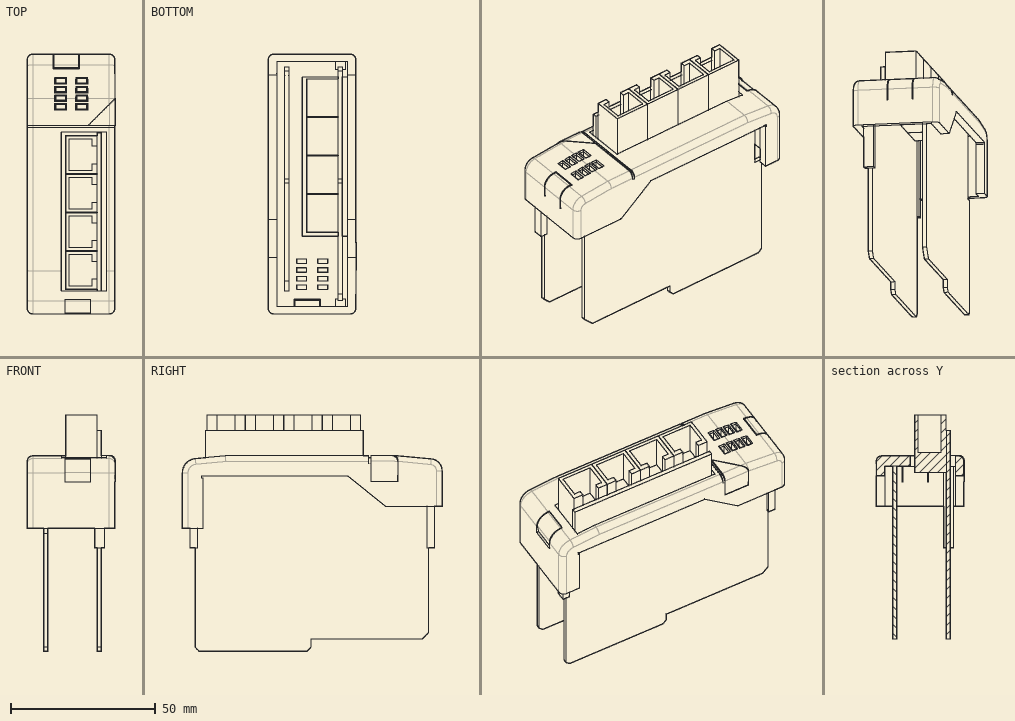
import cadquery as cq
import math

WIDTH = 30.4
LENGTH = 90.0
TOP_Z = 67.7
FRONT_BOTTOM_Z = 42.55
BACK_BOTTOM_Z = 50.15
SLOPE_ANGLE = math.radians(5.3)
FRONT_SLOPE_Y = 14.9
BACK_SLOPE_Y = 74.7
FRONT_RADIUS = 5.0
BACK_RADIUS = 4.2
SIDE_FILLET = 2.0
END_WALL = 2.65
SIDE_WALL = 3.0
CEILING_Z = 64.0

SIDE_OPENING_TOP_Z = 60.7
SIDE_OPENING_FRONT_Y = 7.2
SIDE_OPENING_BEND_Y = 57.3
SIDE_OPENING_BACK_Y = 70.4
RELIEF_DEPTH = 0.5
RELIEF_HEIGHT = 0.65

GROOVE_Y = 64.5
GROOVE_WIDTH = 0.8
GROOVE_DEPTH = 0.65

LABEL_RAISE = 0.15
LABEL_LENGTH = BACK_SLOPE_Y - GROOVE_Y - GROOVE_WIDTH
LABEL_BOTTOM_Z = 58.7

SNAP_BOTTOM_Z = 58.65
FRONT_SNAP_X = 13.1
FRONT_SNAP_WIDTH = 8.8
FRONT_SNAP_Y = 5.1
FRONT_SNAP_DEPTH = 0.3
FRONT_SNAP_BOTTOM_DEPTH = 0.8
FRONT_SNAP_LEAN_TOP_Z = 61.9
BACK_SNAP_X = 9.0
BACK_SNAP_WIDTH = 9.1
BACK_SNAP_Y = 84.95
SLIT_WIDTH = 0.3

INDICATOR_COLUMNS = 2
INDICATOR_ROWS = 4
INDICATOR_COLUMN_PITCH = 7.32
INDICATOR_ROW_PITCH = 3.0
INDICATOR_CENTER = (15.25, 76.25)
INDICATOR_SIZE = (3.35, 1.45)
INDICATOR_CHAMFER = 0.45

BOARD_THICKNESS = 1.5
FIXED_BOARD_X = 24.2
LOOSE_BOARD_X = 5.7
BOARD_FRONT_Y = 4.45
FIXED_BOARD_BACK_Y = 85.25
LOOSE_BOARD_BACK_Y = 82.05
BOARD_STEP_Y = 44.6
BOARD_STEP_Z = 4.2
BOARD_CHAMFER = 1.4
FIXED_BOARD_BACK_CHAMFER = 2.2
LOOSE_BOARD_BACK_CHAMFER = 3.5
BOARD_NOTCH_Y = 7.4
BOARD_NOTCH_Z = 40.8
JACK_BOARD_FRONT_Y = 8.0
JACK_BOARD_BACK_Y = 62.7
JACK_BOARD_TOP_Z = 76.5

GUIDE_X = 23.35
GUIDE_WIDTH = 3.5
GUIDE_LENGTH = 2.65
GUIDE_BOTTOM_Z = 35.8

JACK_COUNT = 4
JACK_PITCH = 13.32
JACK_GAP = 0.1
JACK_DEPTH_X = 10.85
JACK_FRONT_Y = 8.55
JACK_TOP_Z = 81.85
JACK_HEIGHT = 20.0
JACK_WALL = 1.15
JACK_LATCH_WALL = 1.75
JACK_POCKET_WIDTH = 10.8
JACK_POCKET_DEPTH = 13.0
JACK_LATCH_WIDTH = 6.2

JACK_OPENING_X = (11.9, WIDTH - SIDE_WALL)
JACK_OPENING_Y = (JACK_BOARD_FRONT_Y, 63.0)


def block(x0, x1, y0, y1, z0, z1):
    """Box between two opposite corners."""
    return cq.Workplane("XY").box(x1 - x0, y1 - y0, z1 - z0, centered=False).translate((x0, y0, z0))


def side_plate(points, x, thickness):
    """Flat plate with a (Y, Z) outline, growing from x towards +X."""
    return cq.Workplane("YZ").polyline(points).close().extrude(thickness).translate((x, 0, 0))


def outer_profile():
    """Closed (Y, Z) profile of the housing: sloped top ends and rounded end edges."""
    sine = math.sin(SLOPE_ANGLE)
    cosine = math.cos(SLOPE_ANGLE)
    half_angle = (math.pi / 2 + SLOPE_ANGLE) / 2

    def end_arc(radius, slope_y, outward, end_y):
        """Tangent points and mid point of the arc joining a sloped top to its end face."""
        center_y = end_y - outward * radius
        arc_start_y = center_y + outward * radius * sine
        arc_start_z = TOP_Z - abs(arc_start_y - slope_y) * math.tan(SLOPE_ANGLE)
        center_z = arc_start_z - radius * cosine
        middle = (
            center_y + outward * radius * math.sin(half_angle),
            center_z + radius * math.cos(half_angle),
        )
        return (arc_start_y, arc_start_z), middle, (end_y, center_z)

    front_top, front_middle, front_end = end_arc(FRONT_RADIUS, FRONT_SLOPE_Y, -1, 0)
    back_top, back_middle, back_end = end_arc(BACK_RADIUS, BACK_SLOPE_Y, 1, LENGTH)
    return (
        cq.Workplane("YZ")
        .moveTo(0, FRONT_BOTTOM_Z)
        .lineTo(*front_end)
        .threePointArc(front_middle, front_top)
        .lineTo(FRONT_SLOPE_Y, TOP_Z)
        .lineTo(BACK_SLOPE_Y, TOP_Z)
        .lineTo(*back_top)
        .threePointArc(back_middle, back_end)
        .lineTo(LENGTH, FRONT_BOTTOM_Z)
        .close()
    )


def outer_body():
    """Solid outer form with filleted side edges."""
    body = outer_profile().extrude(WIDTH)
    return body.faces("<X or >X").edges("not <Z").fillet(SIDE_FILLET)


def side_openings():
    """Cutter for both side walls and the raised bottom of the back end."""
    return side_plate(
        [
            (SIDE_OPENING_FRONT_Y, 0),
            (SIDE_OPENING_FRONT_Y, SIDE_OPENING_TOP_Z - RELIEF_HEIGHT),
            (SIDE_OPENING_FRONT_Y - RELIEF_DEPTH, SIDE_OPENING_TOP_Z - RELIEF_HEIGHT),
            (SIDE_OPENING_FRONT_Y - RELIEF_DEPTH, SIDE_OPENING_TOP_Z),
            (SIDE_OPENING_BEND_Y, SIDE_OPENING_TOP_Z),
            (SIDE_OPENING_BACK_Y, BACK_BOTTOM_Z),
            (LENGTH, BACK_BOTTOM_Z),
            (LENGTH, 0),
        ],
        0,
        WIDTH,
    )


def top_groove(outer):
    """Shallow groove that follows the rounded top from side to side."""
    slab = block(0, WIDTH, GROOVE_Y, GROOVE_Y + GROOVE_WIDTH, CEILING_Z, TOP_Z)
    return slab.cut(outer.translate((0, 0, -GROOVE_DEPTH)))


def front_snap_recess():
    """Recess that follows the rounded front end and leans deeper towards its lower edge."""
    right = FRONT_SNAP_X + FRONT_SNAP_WIDTH
    slab = block(FRONT_SNAP_X, right, 0, FRONT_SNAP_Y, SNAP_BOTTOM_Z, TOP_Z)
    followed = slab.cut(outer_profile().offset2D(-FRONT_SNAP_DEPTH).extrude(WIDTH))
    leaning_face = side_plate(
        [
            (0, FRONT_SNAP_LEAN_TOP_Z),
            (FRONT_SNAP_DEPTH, FRONT_SNAP_LEAN_TOP_Z),
            (FRONT_SNAP_BOTTOM_DEPTH, SNAP_BOTTOM_Z),
            (0, SNAP_BOTTOM_Z),
        ],
        FRONT_SNAP_X,
        FRONT_SNAP_WIDTH,
    )
    return followed.union(leaning_face)


def back_snap_slit():
    """U-shaped slit through the back end that frees a snap tab."""
    right = BACK_SNAP_X + BACK_SNAP_WIDTH
    around = block(BACK_SNAP_X, right, BACK_SNAP_Y, LENGTH, SNAP_BOTTOM_Z, TOP_Z)
    tab = block(
        BACK_SNAP_X + SLIT_WIDTH, right - SLIT_WIDTH, BACK_SNAP_Y + SLIT_WIDTH, LENGTH, SNAP_BOTTOM_Z, TOP_Z
    )
    return around.cut(tab)


def label(outer):
    """Thin raised triangle on the top, carried down the +X side."""
    corner_y = GROOVE_Y + GROOVE_WIDTH
    edge_x = WIDTH + LABEL_RAISE
    triangle = (
        cq.Workplane("XY")
        .workplane(offset=LABEL_BOTTOM_Z)
        .moveTo(edge_x, corner_y)
        .lineTo(edge_x, corner_y + LABEL_LENGTH)
        .lineTo(edge_x - LABEL_LENGTH, corner_y)
        .close()
        .extrude(TOP_Z + LABEL_RAISE - LABEL_BOTTOM_Z)
    )
    raised = outer.translate((LABEL_RAISE, 0, LABEL_RAISE))
    return triangle.intersect(raised)


def top_height(y):
    """Height of the flat and back slope of the housing top at a given y."""
    return TOP_Z - max(0, y - BACK_SLOPE_Y) * math.tan(SLOPE_ANGLE)


def indicator_window(center_x, center_y):
    """Cutter for one window: a straight opening below a 45 degree rim."""
    length_x, length_y = INDICATOR_SIZE
    top = top_height(center_y)

    def column(size_x, size_y, z0, z1):
        shape = cq.Workplane("XY").box(size_x, size_y, z1 - z0, centered=(True, True, False))
        return shape.translate((center_x, center_y, z0))

    rim_x = length_x + 2 * INDICATOR_CHAMFER
    rim_y = length_y + 2 * INDICATOR_CHAMFER
    rim = (
        cq.Workplane("XY")
        .workplane(offset=top)
        .center(center_x, center_y)
        .rect(rim_x, rim_y)
        .extrude(-INDICATOR_CHAMFER, taper=45)
    )
    above_rim = column(rim_x, rim_y, top, TOP_Z + INDICATOR_CHAMFER)
    return column(length_x, length_y, CEILING_Z, top).union(rim).union(above_rim)


def indicator_centers():
    """(X, Y) centres of the windows."""
    middle_x, middle_y = INDICATOR_CENTER
    return [
        (
            middle_x + (column - (INDICATOR_COLUMNS - 1) / 2) * INDICATOR_COLUMN_PITCH,
            middle_y + (row - (INDICATOR_ROWS - 1) / 2) * INDICATOR_ROW_PITCH,
        )
        for column in range(INDICATOR_COLUMNS)
        for row in range(INDICATOR_ROWS)
    ]


def board_bottom(back_y, back_chamfer):
    """Lower outline shared by the boards, from the back edge round to the front edge."""
    return [
        (back_y, BOARD_STEP_Z + back_chamfer),
        (back_y - back_chamfer, BOARD_STEP_Z),
        (BOARD_STEP_Y, BOARD_STEP_Z),
        (BOARD_STEP_Y, BOARD_CHAMFER),
        (BOARD_STEP_Y - BOARD_CHAMFER, 0),
        (BOARD_FRONT_Y + BOARD_CHAMFER, 0),
        (BOARD_FRONT_Y, BOARD_CHAMFER),
    ]


def fixed_board():
    """Board held in the guides; its upper part stands up through the jack opening."""
    upper = [
        (BOARD_FRONT_Y, CEILING_Z),
        (JACK_BOARD_FRONT_Y, CEILING_Z),
        (JACK_BOARD_FRONT_Y, JACK_BOARD_TOP_Z),
        (JACK_BOARD_BACK_Y, JACK_BOARD_TOP_Z),
        (JACK_BOARD_BACK_Y, CEILING_Z),
        (FIXED_BOARD_BACK_Y, CEILING_Z),
    ]
    lower = board_bottom(FIXED_BOARD_BACK_Y, FIXED_BOARD_BACK_CHAMFER)
    return side_plate(lower + upper, FIXED_BOARD_X, BOARD_THICKNESS)


def make_housing():
    """Cap-shaped housing with its guides and the board fixed in them."""
    outer = outer_body()
    shell = outer.union(label(outer))
    shell = shell.cut(block(SIDE_WALL, WIDTH - SIDE_WALL, END_WALL, LENGTH - END_WALL, 0, CEILING_Z))
    shell = shell.cut(side_openings())
    shell = shell.cut(block(*JACK_OPENING_X, *JACK_OPENING_Y, CEILING_Z, TOP_Z))
    for center_x, center_y in indicator_centers():
        shell = shell.cut(indicator_window(center_x, center_y))
    shell = shell.cut(top_groove(outer))
    shell = shell.cut(front_snap_recess())
    shell = shell.cut(back_snap_slit())
    for guide_y in (END_WALL, LENGTH - END_WALL - GUIDE_LENGTH):
        guide = block(
            GUIDE_X, GUIDE_X + GUIDE_WIDTH, guide_y, guide_y + GUIDE_LENGTH, GUIDE_BOTTOM_Z, CEILING_Z
        )
        shell = shell.union(guide)
    return shell.union(fixed_board())


def make_loose_board():
    """Separate board on the -X side, notched to clear the front end of the housing."""
    upper = [
        (BOARD_FRONT_Y, BOARD_NOTCH_Z),
        (BOARD_NOTCH_Y, BOARD_NOTCH_Z),
        (BOARD_NOTCH_Y, CEILING_Z),
        (LOOSE_BOARD_BACK_Y, CEILING_Z),
    ]
    lower = board_bottom(LOOSE_BOARD_BACK_Y, LOOSE_BOARD_BACK_CHAMFER)
    return side_plate(lower + upper, LOOSE_BOARD_X, BOARD_THICKNESS)


def make_jack(index):
    """Network jack open at the top, with a latch slot through its +X wall."""
    x1 = FIXED_BOARD_X
    x0 = x1 - JACK_DEPTH_X
    y0 = JACK_FRONT_Y + index * JACK_PITCH
    width = JACK_PITCH - JACK_GAP
    center_y = y0 + width / 2
    pocket_z = JACK_TOP_Z - JACK_POCKET_DEPTH

    def opening(start_x, end_x, opening_width):
        half = opening_width / 2
        return block(start_x, end_x, center_y - half, center_y + half, pocket_z, JACK_TOP_Z)

    body = block(x0, x1, y0, y0 + width, JACK_TOP_Z - JACK_HEIGHT, JACK_TOP_Z)
    pocket_end_x = x1 - JACK_LATCH_WALL
    body = body.cut(opening(x0 + JACK_WALL, pocket_end_x, JACK_POCKET_WIDTH))
    return body.cut(opening(pocket_end_x, x1, JACK_LATCH_WIDTH))


housing = make_housing()
loose_board = make_loose_board()
jacks = [make_jack(index) for index in range(JACK_COUNT)]

result = cq.Compound.makeCompound([housing.val(), loose_board.val(), *[jack.val() for jack in jacks]])